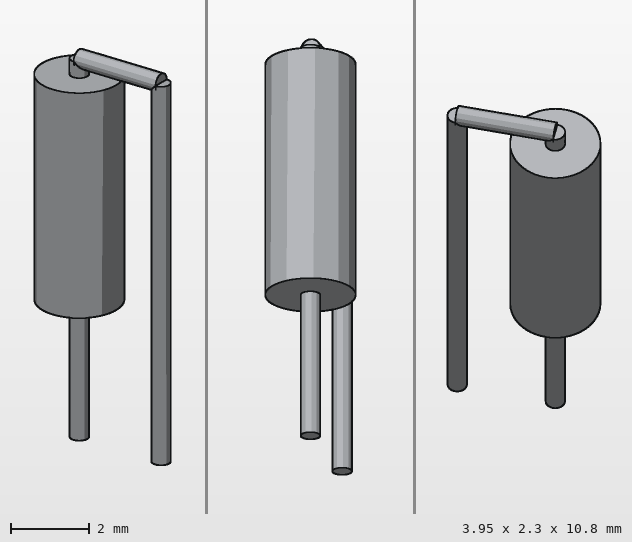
import cadquery as cq

TOTAL_HEIGHT = 10.85
BODY_DIAMETER = 2.3
BODY_LENGTH = 6.3
BODY_BOTTOM = 3.85
LEAD_DIAMETER = 0.5
LEAD_SPACING = 2.55

BODY_TOP = BODY_BOTTOM + BODY_LENGTH
BRIDGE_AXIS_HEIGHT = TOTAL_HEIGHT - LEAD_DIAMETER / 2


def upright_cylinder(x, bottom, top, diameter):
    """Vertical cylinder centred at (x, 0) between two heights."""
    return (
        cq.Workplane("XY", origin=(x, 0, bottom))
        .circle(diameter / 2)
        .extrude(top - bottom)
    )


def make_body():
    return upright_cylinder(0, BODY_BOTTOM, BODY_TOP, BODY_DIAMETER)


def make_lower_lead():
    return upright_cylinder(0, 0, BODY_BOTTOM, LEAD_DIAMETER)


def make_bridge():
    """Horizontal lead section running between the axes of the two uprights."""
    return (
        cq.Workplane("YZ", origin=(0, 0, BRIDGE_AXIS_HEIGHT))
        .circle(LEAD_DIAMETER / 2)
        .extrude(LEAD_SPACING)
    )


def make_saddled_lead(x, bottom, bridge):
    """Upright ending at the bridge axis, hollowed at the top to seat the bridge."""
    lead = upright_cylinder(x, bottom, BRIDGE_AXIS_HEIGHT, LEAD_DIAMETER)
    return lead.cut(bridge).solids()


body = make_body()
lower_lead = make_lower_lead()
bridge = make_bridge()
upper_stub = make_saddled_lead(0, BODY_TOP, bridge)
return_lead = make_saddled_lead(LEAD_SPACING, 0, bridge)

result = cq.Compound.makeCompound(
    [
        body.val(),
        lower_lead.val(),
        upper_stub.val(),
        bridge.val(),
        return_lead.val(),
    ]
)